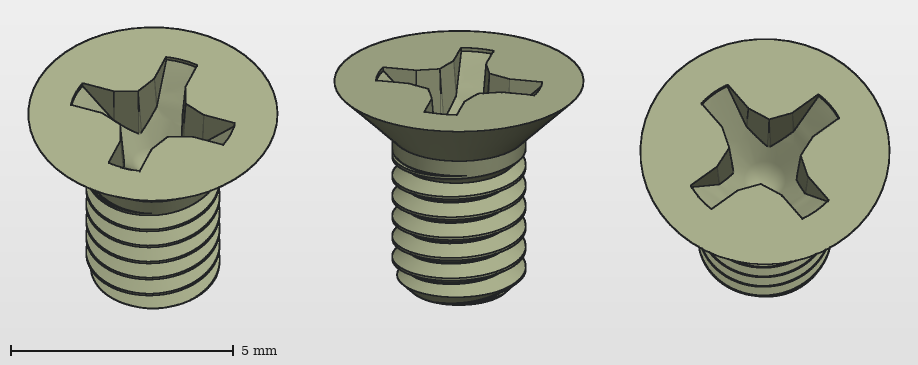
import cadquery as cq
import math

head_diameter = 5.6
total_length = 5.0
thread_diameter = 3.0
neck_length = 0.36
head_radius = head_diameter / 2
thread_radius = thread_diameter / 2
head_height = head_radius - thread_radius
neck_top = total_length - head_height
neck_bottom = neck_top - neck_length

pitch = thread_diameter / 6
root_radius = 1.155
tip_radius = 1.12
tip_chamfer = thread_radius - tip_radius
crest_flat = pitch / 8
flank_slope = math.tan(math.radians(30))
crest_height_at_x = 0.41
extra_turns = 2
root_overlap = 0.03

recess_radius = 1.865
recess_rim_depth = 0.085
recess_cone_angle = 45.0
recess_draft = 4.5
arm_half_width = 0.375
arm_root = 1.075
inner_corner = 0.57
arm_reach = 2.24


def revolve_profile(points):
    """Revolve a closed (radius, height) outline about the Z axis."""
    return cq.Workplane("XZ").polyline(points).close().revolve(360, (0, 0), (0, 1))


def make_head():
    """Countersunk head, plain neck and the 45 degree cone that closes the thread."""
    undercut_bottom = neck_bottom - thread_radius
    return revolve_profile([
        (0, undercut_bottom),
        (thread_radius, neck_bottom),
        (thread_radius, neck_top),
        (head_radius, total_length),
        (0, total_length),
    ])


def make_shank():
    """Core with a helical ridge, trimmed to the crest diameter, the lead-in and the neck."""
    start = crest_height_at_x - 2 * pitch
    turns = math.ceil(neck_bottom / pitch) + extra_turns
    apex_radius = thread_radius + crest_flat / 2 / flank_slope
    base_radius = root_radius - root_overlap
    base_half_width = (apex_radius - base_radius) * flank_slope
    helix = cq.Wire.makeHelix(pitch, turns * pitch, root_radius).translate(cq.Vector(0, 0, start))
    ridge = (
        cq.Workplane("XZ")
        .polyline([
            (base_radius, start - base_half_width),
            (apex_radius, start),
            (base_radius, start + base_half_width),
        ])
        .close()
        .sweep(cq.Workplane(helix), isFrenet=True)
    )
    core = (
        cq.Workplane("XY")
        .workplane(offset=start)
        .circle(root_radius)
        .extrude(turns * pitch)
    )
    envelope = revolve_profile([
        (0, 0),
        (tip_radius, 0),
        (thread_radius, tip_chamfer),
        (thread_radius, neck_bottom),
        (0, neck_bottom),
    ])
    return core.union(ridge).intersect(envelope)


def make_recess():
    """Cutter for the cross recess."""
    quarter = [
        (arm_reach, arm_half_width),
        (arm_root, arm_half_width),
        (inner_corner, inner_corner),
        (arm_half_width, arm_root),
        (arm_half_width, arm_reach),
    ]
    outline = []
    for _ in range(4):
        outline += quarter
        quarter = [(-y, x) for x, y in quarter]

    cone_depth = recess_radius * math.tan(math.radians(recess_cone_angle))
    recess_depth = recess_rim_depth + cone_depth
    cross = (
        cq.Workplane("XY")
        .workplane(offset=total_length)
        .polyline(outline)
        .close()
        .extrude(-recess_depth, taper=recess_draft)
    )
    cone = revolve_profile([
        (0, total_length - recess_depth),
        (recess_radius, total_length - recess_rim_depth),
        (recess_radius, total_length),
        (0, total_length),
    ])
    return cross.intersect(cone)


result = make_head().union(make_shank()).cut(make_recess())